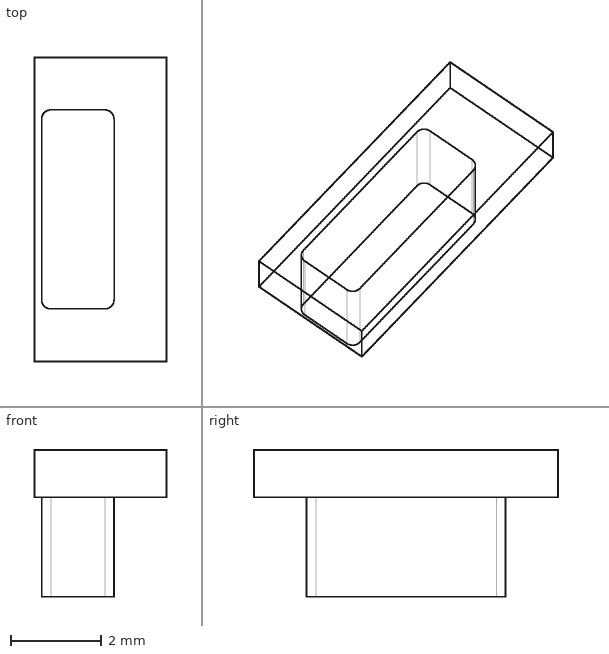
import cadquery as cq

head_width = 2.93
head_length = 6.73
head_thickness = 1.05
total_height = 3.25

stem_width = 1.6
stem_length = 4.4
stem_height = total_height - head_thickness
stem_corner_radius = 0.2
stem_side_inset = 0.16
stem_center_x = -head_width / 2 + stem_side_inset + stem_width / 2


def make_head():
    """Plain plate resting on top of the stem."""
    return (
        cq.Workplane("XY")
        .workplane(offset=stem_height)
        .rect(head_width, head_length)
        .extrude(head_thickness)
    )


def make_stem():
    """Block with rounded vertical edges, standing on Z = 0."""
    return (
        cq.Workplane("XY")
        .center(stem_center_x, 0)
        .rect(stem_width, stem_length)
        .extrude(stem_height)
        .edges("|Z")
        .fillet(stem_corner_radius)
    )


result = make_head().union(make_stem())